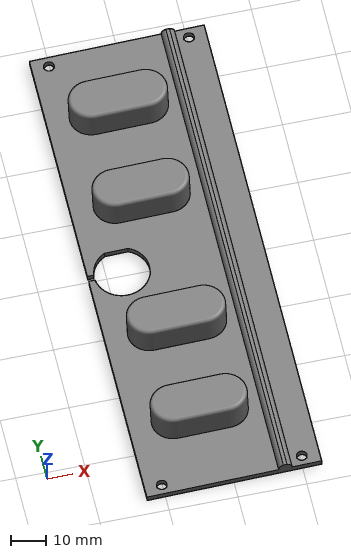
import cadquery as cq
import math

TILT = 2.0
PLATE_LENGTH = 151.1
PLATE_WIDTH = 50.8
PLATE_THICKNESS = 1.8

HOLE_DIAMETER = 3.0
HOLE_INSET_LEFT = 5.0
HOLE_INSET_RIGHT = 5.1
HOLE_INSET_END = 3.0

BOSSES = [(-52.0, 28.0), (-21.5, 28.5), (22.7, 28.0), (53.3, 28.5)]
BOSS_START = 6.6
BOSS_WIDTH = 12.7
BOSS_HEIGHT = 9.4
BOSS_FILLET = 1.0

BEAD_RADIUS = 2.0
BEAD_X = 40.2
BEAD_FLAT_WIDTH = 1.0

OPENING_RADIUS = 8.0
OPENING_X = 9.8
OPENING_Y = 0.2
OPENING_FLAT_OFFSET = 7.3
SLIT_WIDTH = 1.7


def make_plate():
    plate = cq.Workplane("XY").box(
        PLATE_WIDTH, PLATE_LENGTH, PLATE_THICKNESS, centered=(False, True, False)
    )
    hole_end = PLATE_LENGTH / 2 - HOLE_INSET_END
    points = [
        (x, y)
        for x in (HOLE_INSET_LEFT, PLATE_WIDTH - HOLE_INSET_RIGHT)
        for y in (-hole_end, hole_end)
    ]
    holes = (
        cq.Workplane("XY").pushPoints(points)
        .circle(HOLE_DIAMETER / 2).extrude(PLATE_THICKNESS)
    )
    return plate.cut(holes)


def make_opening():
    """Round opening with one flat on its +Y side, plus its slit."""
    half_flat = math.sqrt(OPENING_RADIUS**2 - OPENING_FLAT_OFFSET**2)
    opening = (
        cq.Workplane("XY").center(OPENING_X, OPENING_Y)
        .moveTo(-half_flat, OPENING_FLAT_OFFSET)
        .lineTo(half_flat, OPENING_FLAT_OFFSET)
        .threePointArc((0, -OPENING_RADIUS), (-half_flat, OPENING_FLAT_OFFSET)).close()
        .extrude(PLATE_THICKNESS)
    )
    slit = cq.Workplane("XY").box(
        OPENING_X, SLIT_WIDTH, PLATE_THICKNESS, centered=(False, True, False)
    )
    return opening.union(slit.translate((0, OPENING_Y, 0)))


def make_boss(centre_y, length):
    """Boss standing on the plate, with a rounded top edge."""
    return (
        cq.Workplane("XY").workplane(offset=PLATE_THICKNESS)
        .center(BOSS_START + length / 2, centre_y)
        .slot2D(length, BOSS_WIDTH).extrude(BOSS_HEIGHT)
        .faces(">Z").edges().fillet(BOSS_FILLET)
    )


def make_bead():
    half_flat = BEAD_FLAT_WIDTH / 2
    height = math.sqrt(BEAD_RADIUS**2 - half_flat**2)
    diagonal = BEAD_RADIUS * math.sqrt(0.5)
    return (
        cq.Workplane("XZ", origin=(BEAD_X, PLATE_LENGTH / 2, PLATE_THICKNESS))
        .moveTo(BEAD_RADIUS, 0)
        .threePointArc((diagonal, diagonal), (half_flat, height))
        .lineTo(-half_flat, height)
        .threePointArc((-diagonal, diagonal), (-BEAD_RADIUS, 0)).close()
        .extrude(PLATE_LENGTH)
    )


part = make_plate().cut(make_opening()).union(make_bead())
for boss_y, boss_length in BOSSES:
    part = part.union(make_boss(boss_y, boss_length))

result = part.rotate((0, 0, 0), (0, 1, 0), -TILT)